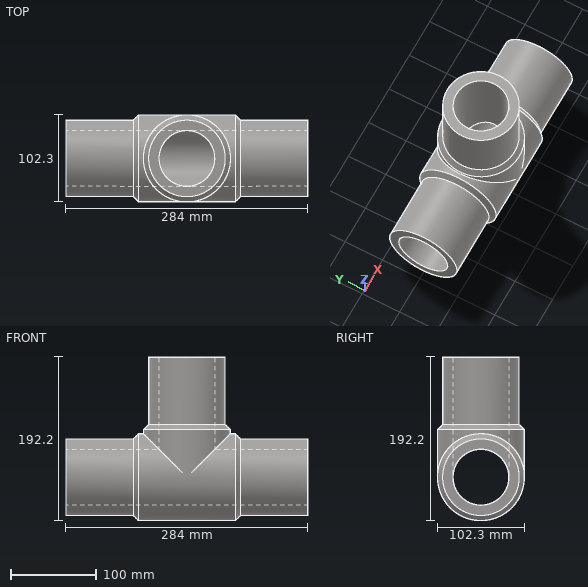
import cadquery as cq

run_length = 284.0
branch_height = 141.0
spigot_length = 79.0
spigot_diameter = 90.0
body_diameter = 102.3
bore_diameter = 65.4

run_half_length = run_length / 2
shoulder_chamfer = (body_diameter - spigot_diameter) / 2


def arm_outline(plane, reach):
    """Solid arm from the origin along the plane normal: body, chamfered shoulder, spigot."""
    body_length = reach - spigot_length
    body = (
        cq.Workplane(plane)
        .circle(body_diameter / 2)
        .extrude(body_length)
        .faces(cq.selectors.DirectionMinMaxSelector(plane.zDir, True))
        .chamfer(shoulder_chamfer)
    )
    spigot = cq.Workplane(plane).circle(spigot_diameter / 2).extrude(reach)
    return body.union(spigot)


def arm_bore(plane, reach):
    """Bore from the origin out through the end face of an arm."""
    return cq.Workplane(plane).circle(bore_diameter / 2).extrude(reach)


origin = (0, 0, 0)
along_y = (0, 1, 0)
right_plane = cq.Plane(origin, along_y, (1, 0, 0))
left_plane = cq.Plane(origin, along_y, (-1, 0, 0))
branch_plane = cq.Plane(origin, along_y, (0, 0, 1))

run = arm_outline(right_plane, run_half_length).union(arm_outline(left_plane, run_half_length))
run_bore = arm_bore(right_plane, run_half_length).union(arm_bore(left_plane, run_half_length))

outside = run.clean().union(arm_outline(branch_plane, branch_height))

result = outside.cut(run_bore.clean()).cut(arm_bore(branch_plane, branch_height))